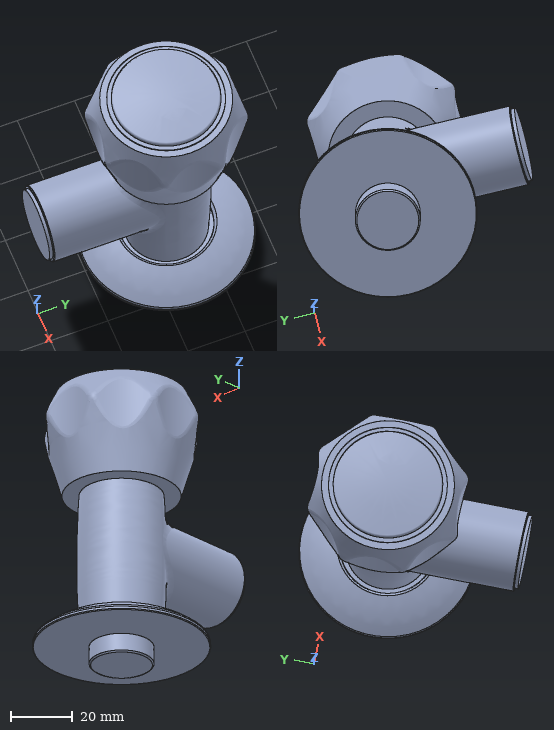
import cadquery as cq
import math

TOTAL_HEIGHT = 99.5
TOTAL_DEPTH = 74.5

STUB_RADIUS = 10.5
STUB_CHAMFER = 0.5

FLANGE_RADIUS = 58.0 / 2
FLANGE_BOTTOM = 6.5
RIM_CHAMFER = 0.3
DOME_RADIUS = FLANGE_RADIUS - RIM_CHAMFER
RIM_WALL_TOP = 7.6
DOME_BOTTOM = 8.3
FLANGE_TOP = 14.3
DOME_BULGE = 0.7
MOUTH_RADIUS = 16.5
RECESS_RADIUS = 15.5
RECESS_LIP = 0.8
RECESS_DEPTH = 2.0
RECESS_FLOOR = FLANGE_TOP - RECESS_DEPTH

BODY_END_RADIUS = 13.8
BODY_MIDDLE_RADIUS = 14.6

OUTLET_RADIUS = 26.4 / 2
OUTLET_HEIGHT = 42.0
OUTLET_END = TOTAL_DEPTH - FLANGE_RADIUS
OUTLET_CHAMFER = 0.3
OUTLET_BLEND = 5.4
NOSE_RADIUS = 12.1
NOSE_LENGTH = 1.2

KNOB_BOTTOM = 60.6
KNOB_TOP = 96.2
KNOB_BOTTOM_RADIUS = 19.4
KNOB_TOP_RADIUS = 21.6
RIDGE_RADIUS = 27.0
RIDGE_HEIGHT = 85.3
LOBE_COUNT = 8
SCALLOP_FLOOR = 23.6
SCALLOP_RADIUS = 29.85
LOBE_ROUNDING = 3.0
SCALLOP_EDGE_FILLET = 2.5

CAP_RING_RADIUS = 19.3
CAP_RING_TOP = 96.6
CAP_RADIUS = 17.8
CAP_WALL_TOP = 97.2
CAP_DOME_RADIUS = 17.1
CAP_DOME_BOTTOM = 97.9


def revolve_about_z(profile):
    """Close a profile drawn in the XZ plane and turn it fully about Z."""
    return profile.close().revolve(360, (0, 0, 0), (0, 1, 0))


def polar(radius, angle):
    return (radius * math.cos(angle), radius * math.sin(angle))


def box_around_axis(half_width, y_max, z_min, z_max):
    """Select the edges lying wholly inside a box around the Z axis."""
    low_corner = (-half_width, -half_width, z_min)
    high_corner = (half_width, y_max, z_max)
    return cq.selectors.BoxSelector(low_corner, high_corner, boundingbox=True)


def make_stub():
    stub = cq.Workplane("XY").circle(STUB_RADIUS).extrude(RECESS_FLOOR)
    return stub.faces("<Z").edges().chamfer(STUB_CHAMFER)


def make_flange():
    run = DOME_RADIUS - MOUTH_RADIUS
    rise = FLANGE_TOP - DOME_BOTTOM
    chord = math.hypot(run, rise)
    dome_middle = (
        (DOME_RADIUS + MOUTH_RADIUS) / 2 + DOME_BULGE * rise / chord,
        (DOME_BOTTOM + FLANGE_TOP) / 2 + DOME_BULGE * run / chord,
    )
    profile = (
        cq.Workplane("XZ")
        .moveTo(0, FLANGE_BOTTOM)
        .lineTo(DOME_RADIUS, FLANGE_BOTTOM)
        .lineTo(FLANGE_RADIUS, FLANGE_BOTTOM + RIM_CHAMFER)
        .lineTo(FLANGE_RADIUS, RIM_WALL_TOP)
        .lineTo(DOME_RADIUS, DOME_BOTTOM)
        .threePointArc(dome_middle, (MOUTH_RADIUS, FLANGE_TOP))
        .lineTo(RECESS_RADIUS, FLANGE_TOP - RECESS_LIP)
        .lineTo(RECESS_RADIUS, RECESS_FLOOR)
        .lineTo(0, RECESS_FLOOR)
    )
    return revolve_about_z(profile)


def make_barrel():
    barrel_middle = (BODY_MIDDLE_RADIUS, (RECESS_FLOOR + KNOB_BOTTOM) / 2)
    profile = (
        cq.Workplane("XZ")
        .moveTo(0, RECESS_FLOOR)
        .lineTo(BODY_END_RADIUS, RECESS_FLOOR)
        .threePointArc(barrel_middle, (BODY_END_RADIUS, KNOB_BOTTOM))
        .lineTo(BODY_END_RADIUS, RIDGE_HEIGHT)
        .lineTo(0, RIDGE_HEIGHT)
    )
    return revolve_about_z(profile)


def make_body():
    """Barrel with the blended side outlet and its stepped nose."""
    outlet_plane = cq.Workplane("XZ", origin=(0, 0, OUTLET_HEIGHT))
    outlet = outlet_plane.circle(OUTLET_RADIUS).extrude(OUTLET_END - NOSE_LENGTH)
    outlet = outlet.faces("<Y").edges().chamfer(OUTLET_CHAMFER)
    nose = outlet_plane.circle(NOSE_RADIUS).extrude(OUTLET_END)
    joint = box_around_axis(FLANGE_RADIUS, 0, FLANGE_TOP, KNOB_BOTTOM)
    body = make_barrel().union(outlet).edges(joint).fillet(OUTLET_BLEND)
    return body.union(nose)


def make_lobed_prism():
    """Upright prism with concave sides that meet at rounded lobes."""
    half_pitch = math.pi / LOBE_COUNT
    arc_center = SCALLOP_FLOOR + SCALLOP_RADIUS
    arc_offset = arc_center * math.sin(half_pitch)
    lobe_radius = arc_center * math.cos(half_pitch) - math.sqrt(SCALLOP_RADIUS**2 - arc_offset**2)

    outline = cq.Workplane("XY", origin=(0, 0, KNOB_BOTTOM)).moveTo(*polar(lobe_radius, -half_pitch))
    for i in range(LOBE_COUNT):
        middle = 2 * half_pitch * i
        outline = outline.threePointArc(
            polar(SCALLOP_FLOOR, middle),
            polar(lobe_radius, middle + half_pitch),
        )
    prism = outline.close().extrude(KNOB_TOP - KNOB_BOTTOM)
    return prism.edges("|Z").fillet(LOBE_ROUNDING)


def make_knob():
    profile = (
        cq.Workplane("XZ")
        .moveTo(0, KNOB_BOTTOM)
        .lineTo(KNOB_BOTTOM_RADIUS, KNOB_BOTTOM)
        .lineTo(RIDGE_RADIUS, RIDGE_HEIGHT)
        .lineTo(KNOB_TOP_RADIUS, KNOB_TOP)
        .lineTo(0, KNOB_TOP)
    )
    knob = revolve_about_z(profile).intersect(make_lobed_prism())
    margin = 0.5
    scallop_edges = box_around_axis(FLANGE_RADIUS, FLANGE_RADIUS, KNOB_BOTTOM + margin, KNOB_TOP - margin)
    return knob.edges(scallop_edges).fillet(SCALLOP_EDGE_FILLET)


def make_cap():
    dome_rise = TOTAL_HEIGHT - CAP_DOME_BOTTOM
    dome_sphere_radius = (CAP_DOME_RADIUS**2 + dome_rise**2) / (2 * dome_rise)
    profile = (
        cq.Workplane("XZ")
        .moveTo(0, KNOB_TOP)
        .lineTo(CAP_RING_RADIUS, KNOB_TOP)
        .lineTo(CAP_RING_RADIUS, CAP_RING_TOP)
        .lineTo(CAP_RADIUS, CAP_RING_TOP)
        .lineTo(CAP_RADIUS, CAP_WALL_TOP)
        .tangentArcPoint((CAP_DOME_RADIUS, CAP_DOME_BOTTOM), relative=False)
        .radiusArc((0, TOTAL_HEIGHT), -dome_sphere_radius)
    )
    return revolve_about_z(profile)


result = make_body()
for piece in (make_stub(), make_flange(), make_knob(), make_cap()):
    result = result.union(piece)